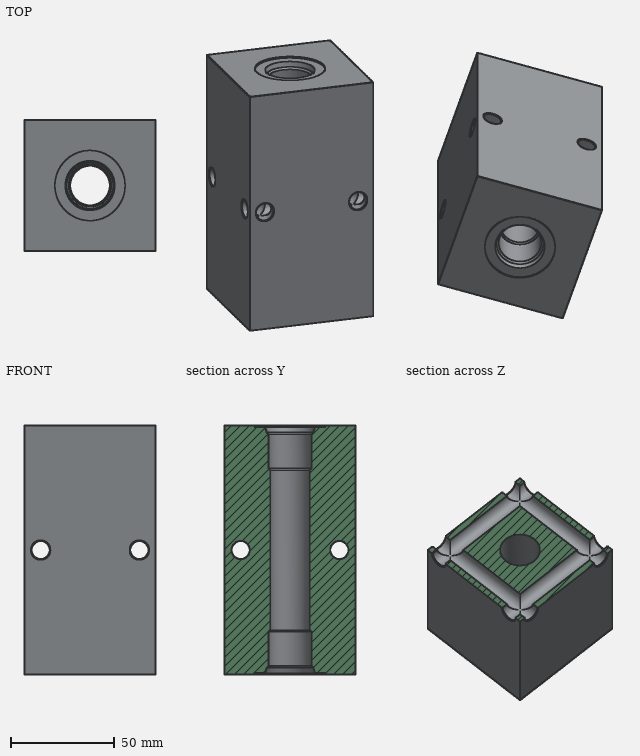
import cadquery as cq

BLOCK_WIDTH = 63.5
BLOCK_HEIGHT = 120.6
EDGE_CHAMFER = 0.22

BORE_DIAMETER = 19.1
SPOTFACE_DIAMETER = 34.0
SPOTFACE_DEPTH = 0.78
SEAL_MOUTH_DIAMETER = 24.0
SEAL_FLOOR_DIAMETER = 22.6
SEAL_DEPTH = 2.5
THREAD_DIAMETER = 20.6
THREAD_DEPTH = 20.0

CROSS_HOLE_DIAMETER = 8.7
CROSS_HOLE_SPACING = 47.8
COUNTERSINK_DIAMETER = 9.5


def make_block():
    block = cq.Workplane("XY").box(BLOCK_WIDTH, BLOCK_WIDTH, BLOCK_HEIGHT)
    return block.edges().chamfer(EDGE_CHAMFER)


def make_port_cutter():
    """Top port: spotface, tapered seal seat, 45 degree lead-in, thread bore, 45 degree end cone."""
    top = BLOCK_HEIGHT / 2
    spotface_floor = top - SPOTFACE_DEPTH
    seal_floor = spotface_floor - SEAL_DEPTH
    thread_start = seal_floor - (SEAL_FLOOR_DIAMETER - THREAD_DIAMETER) / 2
    thread_end = spotface_floor - THREAD_DEPTH
    bore_start = thread_end - (THREAD_DIAMETER - BORE_DIAMETER) / 2
    profile = [
        (0, top),
        (SPOTFACE_DIAMETER / 2, top),
        (SPOTFACE_DIAMETER / 2, spotface_floor),
        (SEAL_MOUTH_DIAMETER / 2, spotface_floor),
        (SEAL_FLOOR_DIAMETER / 2, seal_floor),
        (THREAD_DIAMETER / 2, thread_start),
        (THREAD_DIAMETER / 2, thread_end),
        (BORE_DIAMETER / 2, bore_start),
        (0, bore_start),
    ]
    return cq.Workplane("XZ").polyline(profile).close().revolve(360, (0, 0, 0), (0, 1, 0))


def make_cross_hole_cutter():
    """One hole along Y through the centre, with a 45 degree countersink at both faces."""
    hole_radius = CROSS_HOLE_DIAMETER / 2
    countersink_radius = COUNTERSINK_DIAMETER / 2
    face = BLOCK_WIDTH / 2
    countersink_end = face - (countersink_radius - hole_radius)
    profile = [
        (0, -face),
        (countersink_radius, -face),
        (hole_radius, -countersink_end),
        (hole_radius, countersink_end),
        (countersink_radius, face),
        (0, face),
    ]
    return cq.Workplane("XY").polyline(profile).close().revolve(360, (0, 0, 0), (0, 1, 0))


result = make_block()

bore = cq.Workplane("XY").circle(BORE_DIAMETER / 2).extrude(BLOCK_HEIGHT / 2, both=True)
top_port = make_port_cutter()
bottom_port = top_port.mirror("XY")
result = result.cut(bore).cut(top_port).cut(bottom_port)

for side in (-1, 1):
    hole_along_y = make_cross_hole_cutter().translate((side * CROSS_HOLE_SPACING / 2, 0, 0))
    hole_along_x = hole_along_y.rotate((0, 0, 0), (0, 0, 1), 90)
    result = result.cut(hole_along_y).cut(hole_along_x)